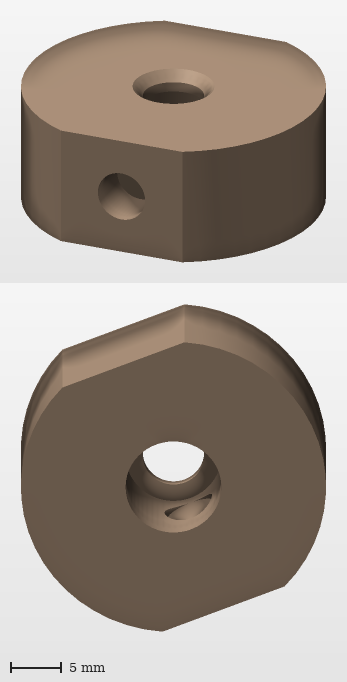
import cadquery as cq

disc_diameter = 29.9
flat_spacing = 27.0
disc_height = 12.0

lip_hole_diameter = 6.0
lip_height = 2.0
lip_chamfer = lip_height / 2
wide_bore_diameter = 9.4

side_hole_diameter = 5.0
front_flat_y = -flat_spacing / 2

plug_recess = 5.0
plug_front_y = front_flat_y + plug_recess
plug_inner_y = -wide_bore_diameter / 2


def cylinder_along_y(diameter, start_y, end_y):
    """Cylinder on the axis of the side hole, at half the height of the disc."""
    start = cq.Workplane("XZ", origin=(0, start_y, disc_height / 2))
    return start.circle(diameter / 2).extrude(start_y - end_y)


def make_disc_with_flats():
    disc = cq.Workplane("XY").circle(disc_diameter / 2).extrude(disc_height)
    between_flats = cq.Workplane("XY").rect(disc_diameter, flat_spacing).extrude(disc_height)
    return disc.intersect(between_flats)


def make_bore():
    """Solid to cut away: wide bore, lip hole and the chamfer at its top edge."""
    wide_bore = cq.Workplane("XY").circle(wide_bore_diameter / 2).extrude(disc_height - lip_height)
    lip_hole = cq.Workplane("XY").circle(lip_hole_diameter / 2).extrude(disc_height)
    chamfer_cone = cq.Workplane(
        cq.Solid.makeCone(
            lip_hole_diameter / 2,
            lip_hole_diameter / 2 + lip_chamfer,
            lip_chamfer,
            pnt=cq.Vector(0, 0, disc_height - lip_chamfer),
        )
    )
    return wide_bore.union(lip_hole).union(chamfer_cone)


def make_housing():
    side_hole = cylinder_along_y(side_hole_diameter, front_flat_y, 0)
    return make_disc_with_flats().cut(make_bore()).cut(side_hole)


def make_plug():
    return cylinder_along_y(side_hole_diameter, plug_front_y, plug_inner_y)


housing = make_housing()
plug = make_plug()
result = cq.Compound.makeCompound([housing.solids().val(), plug.solids().val()])